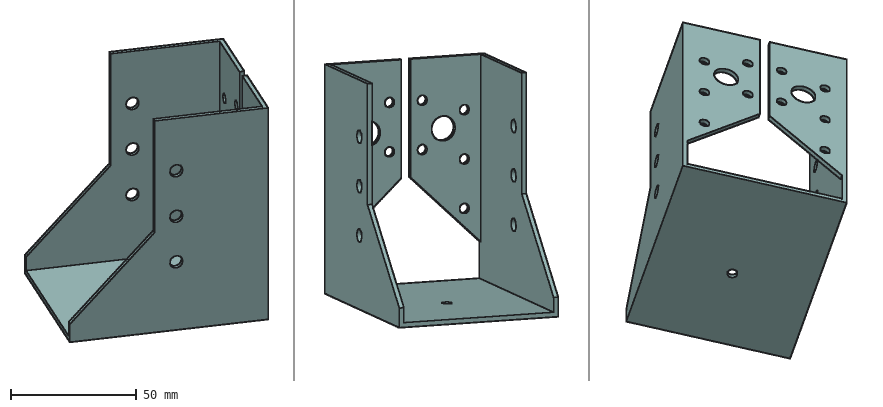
import cadquery as cq

width = 68.0
depth = 82.0
height = 93.0
sheet = 2.0
inner_half_width = width / 2 - sheet

wall_top_depth = 47.0
wall_slope_top = 44.0
wall_front_height = 8.0
wall_hole_diameter = 5.2
wall_hole_from_back = 38.0
wall_hole_heights = (30.0, 50.0, 70.0)

flange_gap = 4.0
flange_inner_bottom = 45.0
flange_outer_bottom = 17.0
nail_hole_diameter = 4.0
outer_nail_x = 25.0
outer_nail_heights = (31.0, 51.0, 71.0)
inner_nail_x = 7.0
inner_nail_heights = (56.0, 76.0)
bolt_hole_diameter = 10.0
bolt_x = 16.0
bolt_height = 64.0

base_hole_diameter = 4.0
base_hole_from_back = 47.0


def base_plate():
    plate = cq.Workplane("XY").box(width, depth, sheet, centered=(True, False, False))
    hole = (
        cq.Workplane("XY")
        .center(0, depth - base_hole_from_back)
        .circle(base_hole_diameter / 2)
        .extrude(sheet)
    )
    return plate.cut(hole)


def right_wall():
    """Side wall on the +X side, with its column of through holes."""
    plane = cq.Workplane("YZ", origin=(inner_half_width, 0, 0))
    wall = plane.polyline([
        (0, 0),
        (depth, 0),
        (depth, height),
        (depth - wall_top_depth, height),
        (depth - wall_top_depth, wall_slope_top),
        (0, wall_front_height),
    ]).close().extrude(sheet)
    hole_centres = [(depth - wall_hole_from_back, z) for z in wall_hole_heights]
    holes = plane.pushPoints(hole_centres).circle(wall_hole_diameter / 2).extrude(sheet)
    return wall.cut(holes)


def right_flange():
    """Back plate on the +X side, with a sloping lower edge, nail holes and a bolt hole."""
    plane = cq.Workplane("XZ", origin=(0, depth, 0))
    flange = plane.polyline([
        (flange_gap / 2, height),
        (flange_gap / 2, flange_inner_bottom),
        (inner_half_width, flange_outer_bottom),
        (inner_half_width, height),
    ]).close().extrude(sheet)
    nail_centres = [(outer_nail_x, z) for z in outer_nail_heights]
    nail_centres += [(inner_nail_x, z) for z in inner_nail_heights]
    nail_holes = plane.pushPoints(nail_centres).circle(nail_hole_diameter / 2).extrude(sheet)
    bolt_hole = plane.center(bolt_x, bolt_height).circle(bolt_hole_diameter / 2).extrude(sheet)
    return flange.cut(nail_holes).cut(bolt_hole)


right_side = right_wall().union(right_flange())
left_side = right_side.mirror("YZ")
result = base_plate().union(right_side).union(left_side)